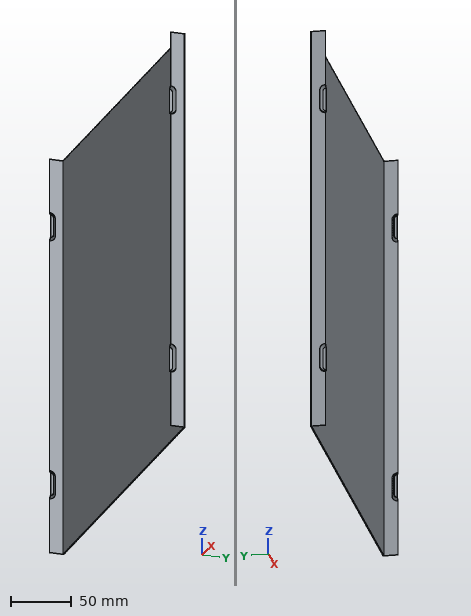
import cadquery as cq
import math

width = 300.0
depth = 12.5
height = 350.0
wall = 0.9

dimple_length = 24.0
dimple_reach = 4.5
dimple_depth = 2.8
dimple_slope = 36.0
dimple_offset = 114.8

outline_growth = wall * math.tan(math.radians((90 - dimple_slope) / 2))

front_y = -depth / 2


def make_channel():
    """Plate and flanges as one constant cross-section along Z."""
    envelope = cq.Workplane("XY").box(width, depth, height)
    inside = cq.Workplane("XY").box(width - 2 * wall, depth, height)
    return envelope.cut(inside.translate((0, -wall, 0)))


def make_frustum(side, start_x, z, growth=0):
    """Tapered obround block pointing toward the middle of the panel from start_x."""
    plane = cq.Plane(origin=(side * start_x, front_y, z), xDir=(0, 0, 1), normal=(-side, 0, 0))
    return (
        cq.Workplane(plane)
        .slot2D(dimple_length + 2 * growth, 2 * (dimple_reach + growth))
        .extrude(dimple_depth, taper=dimple_slope)
    )


def press_dimple(body, side, z):
    """Raise the inner face of one flange and hollow its outer face to match."""
    panel_envelope = cq.Workplane("XY").box(width, depth, height)
    raised = make_frustum(side, width / 2 - wall, z, outline_growth).intersect(panel_envelope)
    hollow = make_frustum(side, width / 2, z)
    return body.union(raised).cut(hollow)


result = make_channel()
for flange_side in (-1, 1):
    for dimple_z in (-dimple_offset, dimple_offset):
        result = press_dimple(result, flange_side, dimple_z)